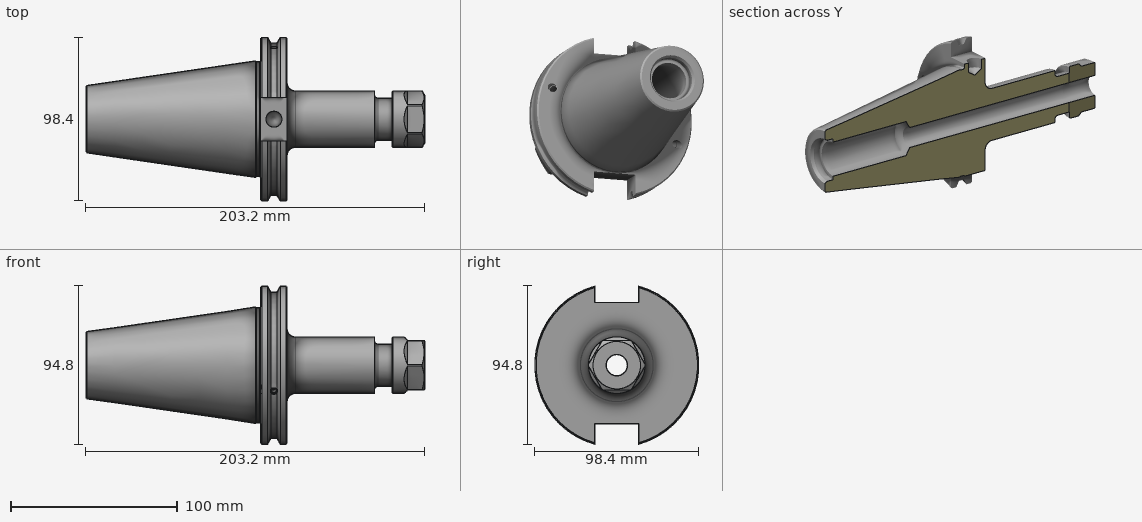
import cadquery as cq
import math


overall_length = 203.2
gauge_x = overall_length / 2
gauge_radius = 35.0
taper_ratio = 7 / 24
small_end_radius = gauge_radius - gauge_x * taper_ratio / 2
small_end_chamfer = 0.8
relief_radius = 34.5
relief_corner = 0.6

flange_start_x = 104.9
flange_width = 15.8
flange_end_x = flange_start_x + flange_width
flange_radius = 49.2
flange_chamfer = 0.8
groove_center_x = flange_start_x + flange_width / 2
groove_floor_radius = 45.7
groove_floor_width = 3.7
groove_wall_angle = 30.0
groove_wall_run = (flange_radius - groove_floor_radius) * math.tan(math.radians(groove_wall_angle))
groove_floor_half = groove_floor_width / 2
groove_mouth_half = groove_floor_half + groove_wall_run

slot_width = 26.2
upper_slot_floor_z = 37.5
lower_slot_floor_z = -35.2
dimple_diameter = 9.5
dimple_depth = 6.0

coolant_angle = 20.0
coolant_face_radius = 42.0
coolant_tilt = 35.0
face_thread_diameter = 5.0
face_thread_depth = 2.0
face_drill_diameter = 4.3
groove_thread_diameter = 4.0
groove_thread_depth = 2.0
groove_drill_diameter = 3.3

shank_radius = 34.0 / 2
shank_root_fillet = 4.9
shank_end_x = 173.1
neck_radius = 25.5 / 2
neck_fillet = 2.0

bore_mouth_radius = 28.5 / 2
bore_mouth_depth = 1.8
counterbore_radius = 26.2 / 2
counterbore_depth = 6.0
thread_bore_radius = 21.7 / 2
thread_bore_depth = 61.0
through_radius = 12.5 / 2
drill_point_half_angle = 59.0

nut_start_x = 183.7
nut_radius = 34.0 / 2
nut_back_chamfer = 0.6
hex_across_flats = 29.9
hex_start_x = 192.8
hex_side_count = 6
hex_runout_length = 2.0
nut_face_radius = 14.2
nut_face_chamfer_angle = 30.0
nut_face_chamfer_length = (nut_radius - nut_face_radius) * math.tan(math.radians(nut_face_chamfer_angle))


def turned(profile):
    """Solid of revolution about X of a closed outline drawn as (x, radius)."""
    return profile.close().revolve(360, (0, 0, 0), (1, 0, 0))


def cone_run(larger_radius, smaller_radius):
    """Axial length of a drill-point cone between two radii."""
    return (larger_radius - smaller_radius) / math.tan(math.radians(drill_point_half_angle))


def fillet_middle(center_x, center_radius, fillet):
    """Middle of a concave quarter arc whose centre lies outward and towards +X."""
    offset = fillet * math.sqrt(0.5)
    return (center_x - offset, center_radius - offset)


def holder_blank():
    relief_fillet_x = flange_start_x - relief_corner
    root_x = flange_end_x + shank_root_fillet
    root_radius = shank_radius + shank_root_fillet
    neck_x = shank_end_x + neck_fillet
    neck_fillet_radius = neck_radius + neck_fillet
    relief_offset = relief_corner * math.sqrt(0.5)
    profile = (
        cq.Workplane("XY")
        .moveTo(0, 0)
        .lineTo(0, small_end_radius - small_end_chamfer)
        .lineTo(small_end_chamfer, small_end_radius + small_end_chamfer * taper_ratio / 2)
        .lineTo(gauge_x, gauge_radius)
        .lineTo(gauge_x + relief_corner, relief_radius)
        .lineTo(relief_fillet_x, relief_radius)
        .threePointArc(
            (relief_fillet_x + relief_offset, relief_radius + relief_corner - relief_offset),
            (flange_start_x, relief_radius + relief_corner),
        )
        .lineTo(flange_start_x, flange_radius - flange_chamfer)
        .lineTo(flange_start_x + flange_chamfer, flange_radius)
        .lineTo(groove_center_x - groove_mouth_half, flange_radius)
        .lineTo(groove_center_x - groove_floor_half, groove_floor_radius)
        .lineTo(groove_center_x + groove_floor_half, groove_floor_radius)
        .lineTo(groove_center_x + groove_mouth_half, flange_radius)
        .lineTo(flange_end_x - flange_chamfer, flange_radius)
        .lineTo(flange_end_x, flange_radius - flange_chamfer)
        .lineTo(flange_end_x, root_radius)
        .threePointArc(fillet_middle(root_x, root_radius, shank_root_fillet), (root_x, shank_radius))
        .lineTo(shank_end_x, shank_radius)
        .lineTo(shank_end_x, neck_fillet_radius)
        .threePointArc(fillet_middle(neck_x, neck_fillet_radius, neck_fillet), (neck_x, neck_radius))
        .lineTo(nut_start_x, neck_radius)
        .lineTo(nut_start_x, 0)
    )
    return turned(profile)


def holder_bore():
    point_end_x = thread_bore_depth + cone_run(thread_bore_radius, through_radius)
    profile = (
        cq.Workplane("XY")
        .moveTo(0, 0)
        .lineTo(0, bore_mouth_radius)
        .lineTo(bore_mouth_depth, counterbore_radius)
        .lineTo(counterbore_depth, counterbore_radius)
        .lineTo(counterbore_depth, thread_bore_radius)
        .lineTo(thread_bore_depth, thread_bore_radius)
        .lineTo(point_end_x, through_radius)
        .lineTo(nut_start_x, through_radius)
        .lineTo(nut_start_x, 0)
    )
    return turned(profile)


def drive_slot(floor_z):
    """Cutter for a slot across the flange, open away from the axis."""
    height = math.copysign(flange_radius, floor_z)
    return (
        cq.Workplane("XY", origin=(groove_center_x, 0, floor_z))
        .rect(flange_width, slot_width)
        .extrude(height)
    )


def dimple():
    """Drilled blind hole with a pointed bottom in the upper slot floor."""
    radius = dimple_diameter / 2
    bottom_z = upper_slot_floor_z - dimple_depth
    return (
        cq.Workplane("XZ", origin=(groove_center_x, 0, 0))
        .moveTo(0, upper_slot_floor_z)
        .lineTo(radius, upper_slot_floor_z)
        .lineTo(radius, bottom_z)
        .lineTo(0, bottom_z - cone_run(radius, 0))
        .close()
        .revolve(360, (0, 0, 0), (0, 1, 0))
    )


def coolant_passage(angle):
    """Tilted hole from the flange face that meets a radial hole from the groove, both stepped."""
    tilt = math.radians(coolant_tilt)
    to_meeting = groove_center_x - flange_start_x
    meeting_radius = coolant_face_radius - to_meeting * math.tan(tilt)
    meeting = cq.Vector(groove_center_x, meeting_radius, 0)
    outward = cq.Vector(0, 1, 0)
    to_face = cq.Vector(-math.cos(tilt), math.sin(tilt), 0)
    to_face_length = to_meeting / math.cos(tilt)
    face_overrun = face_thread_diameter
    face_step = meeting + to_face * (to_face_length - face_thread_depth)
    groove_step = cq.Vector(groove_center_x, groove_floor_radius - groove_thread_depth, 0)

    face_drill = cq.Solid.makeCylinder(face_drill_diameter / 2, to_face_length, meeting, to_face)
    face_thread = cq.Solid.makeCylinder(
        face_thread_diameter / 2, face_thread_depth + face_overrun, face_step, to_face
    )
    groove_drill = cq.Solid.makeCylinder(
        groove_drill_diameter / 2, groove_floor_radius - meeting_radius, meeting, outward
    )
    groove_thread = cq.Solid.makeCylinder(
        groove_thread_diameter / 2, flange_radius - groove_step.y, groove_step, outward
    )
    passage = cq.Workplane(face_drill)
    for hole in (face_thread, groove_drill, groove_thread):
        passage = passage.union(cq.Workplane(hole))
    return passage.rotate((0, 0, 0), (1, 0, 0), angle)


def make_holder():
    holder = holder_blank().cut(holder_bore())
    for floor_z in (upper_slot_floor_z, lower_slot_floor_z):
        holder = holder.cut(drive_slot(floor_z))
    holder = holder.cut(dimple())
    for angle in (coolant_angle, coolant_angle + 180):
        holder = holder.cut(coolant_passage(angle))
    return holder


def nut_blank():
    profile = (
        cq.Workplane("XY")
        .moveTo(nut_start_x, through_radius)
        .lineTo(nut_start_x, nut_radius - nut_back_chamfer)
        .lineTo(nut_start_x + nut_back_chamfer, nut_radius)
        .lineTo(overall_length - nut_face_chamfer_length, nut_radius)
        .lineTo(overall_length, nut_face_radius)
        .lineTo(overall_length, through_radius)
    )
    return turned(profile)


def hex_flat(angle):
    """Cutter for one wrench flat, with a sloped run-out at its back."""
    flat_z = hex_across_flats / 2
    return (
        cq.Workplane("XZ")
        .moveTo(hex_start_x - hex_runout_length, nut_radius)
        .lineTo(hex_start_x, flat_z)
        .lineTo(overall_length, flat_z)
        .lineTo(overall_length, nut_radius)
        .close()
        .extrude(nut_radius, both=True)
        .rotate((0, 0, 0), (1, 0, 0), angle)
    )


def make_nut():
    nut = nut_blank()
    for side in range(hex_side_count):
        nut = nut.cut(hex_flat(side * 360 / hex_side_count))
    return nut


holder = make_holder()
nut = make_nut()
result = cq.Compound.makeCompound([holder.val(), nut.val()])